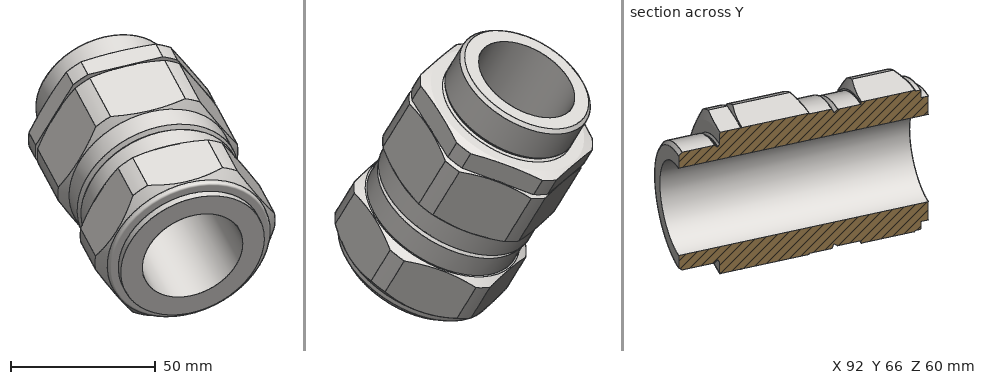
import cadquery as cq
import math

total_length = 92.0
across_flats = 60.0
across_corners = 66.0
corner_radius = across_corners / 2
bore_diameter = 36.8

spigot_radius = 25.0
spigot_chamfer = 1.3
spigot_end = 13.25
neck_depth = 0.9
neck_radius = spigot_radius - neck_depth
neck_start = spigot_end + neck_depth
neck_end = 14.4

flange_start = 15.1
flange_end = 23.1
flange_chamfer_angle = 15
flange_face_radius = 29.35
flange_chamfer = (corner_radius - flange_face_radius) * math.tan(math.radians(flange_chamfer_angle))

collar_radius = 29.6
collar_end = 56.5
groove_bottom = 57.3
groove_radius = 27.9
second_collar_radius = 29.0
second_collar_start = 58.6

body_start = flange_end
body_end = 48.2
hexagon_chamfer_angle = 30
hexagon_chamfer = (corner_radius - collar_radius) * math.tan(math.radians(hexagon_chamfer_angle))

nut_start = 67.1
nut_end = 87.3
nut_rear_chamfer = 3.0
rim_end = 89.4
rim_fillet = 0.8
seal_radius = 26.3


def turn(points):
    """Solid turned about X, with the given (x, radius) points as its outline."""
    start = points[0][0]
    end = points[-1][0]
    outline = [(start, 0), *points, (end, 0)]
    return cq.Workplane("XZ").polyline(outline).close().revolve(360, (0, 0), (1, 0))


def hexagon(points):
    """Turned blank with six flats, two of them facing up and down."""
    start = points[0][0]
    end = points[-1][0]
    prism = (
        cq.Workplane("YZ", origin=(start, 0, 0))
        .polygon(6, across_flats, circumscribed=True)
        .extrude(end - start)
        .rotate((0, 0, 0), (1, 0, 0), 30)
    )
    return turn(points).intersect(prism)


spigot = turn([
    (0, spigot_radius - spigot_chamfer),
    (spigot_chamfer, spigot_radius),
    (spigot_end, spigot_radius),
    (neck_start, neck_radius),
    (neck_end, neck_radius),
    (flange_start, spigot_radius),
])

flange = hexagon([
    (flange_start, flange_face_radius),
    (flange_start + flange_chamfer, corner_radius),
    (flange_end, corner_radius),
])

body = hexagon([
    (body_start, collar_radius),
    (body_start + hexagon_chamfer, corner_radius),
    (body_end - hexagon_chamfer, corner_radius),
    (body_end, collar_radius),
])

collars = turn([
    (body_end, collar_radius),
    (collar_end, collar_radius),
    (groove_bottom, groove_radius),
    (second_collar_start, second_collar_radius),
    (nut_start, second_collar_radius),
])

nut = hexagon([
    (nut_start, collar_radius),
    (nut_start + hexagon_chamfer, corner_radius),
    (nut_end - nut_rear_chamfer, corner_radius),
    (nut_end, collar_radius),
])

rim = turn([
    (nut_end, collar_radius),
    (rim_end, collar_radius),
]).faces(">X").edges().fillet(rim_fillet)

seal = turn([
    (rim_end, seal_radius),
    (total_length, seal_radius),
])

result = spigot
for section in (flange, body, collars, nut, rim, seal):
    result = result.union(section)

bore = cq.Workplane("YZ").circle(bore_diameter / 2).extrude(total_length)
result = result.cut(bore)